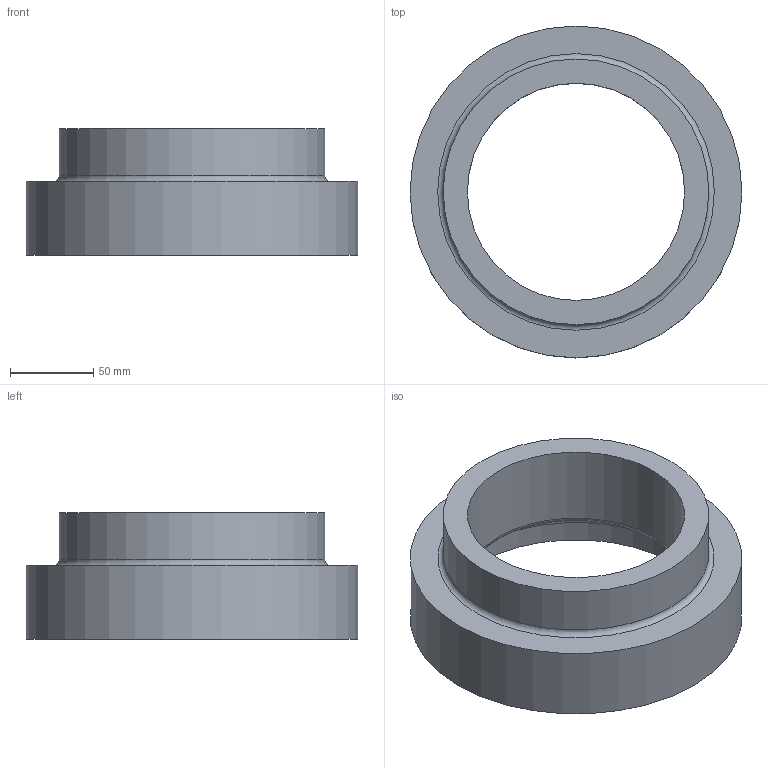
import cadquery as cq

flange_diameter = 199.9
hub_diameter = 160.02
bore_diameter = 130.81
recess_diameter = 163.47

total_height = 76.2
flange_height = 44.45
recess_wall_height = 12.7

hub_root_radius = 3.302
bore_edge_radius = 3.175
recess_corner_radius = 11.684

recess_depth = recess_wall_height + recess_corner_radius


def cylinder(diameter, height):
    """Upright cylinder on the Z axis, standing on the bottom plane."""
    return cq.Workplane("XY").circle(diameter / 2).extrude(height)


def step_edges(stepped_solid):
    """Inner and outer circles of the flat step between two stacked cylinders."""
    step_face = stepped_solid.faces("|Z").faces("<Z[-2]")
    inner = step_face.edges(cq.selectors.RadiusNthSelector(0))
    outer = step_face.edges(cq.selectors.RadiusNthSelector(-1))
    return inner, outer


def flanged_hub():
    """Flange with a raised hub, joined by a concave fillet at the hub root."""
    body = cylinder(flange_diameter, flange_height).union(cylinder(hub_diameter, total_height))
    hub_root, _ = step_edges(body)
    return hub_root.fillet(hub_root_radius)


def recessed_bore():
    """Through bore opening into a wider bottom recess, with both step edges rounded."""
    cavity = cylinder(recess_diameter, recess_depth).union(cylinder(bore_diameter, total_height))
    _, recess_corner = step_edges(cavity)
    cavity = recess_corner.fillet(recess_corner_radius)
    bore_edge, _ = step_edges(cavity)
    return bore_edge.fillet(bore_edge_radius)


result = flanged_hub().cut(recessed_bore())